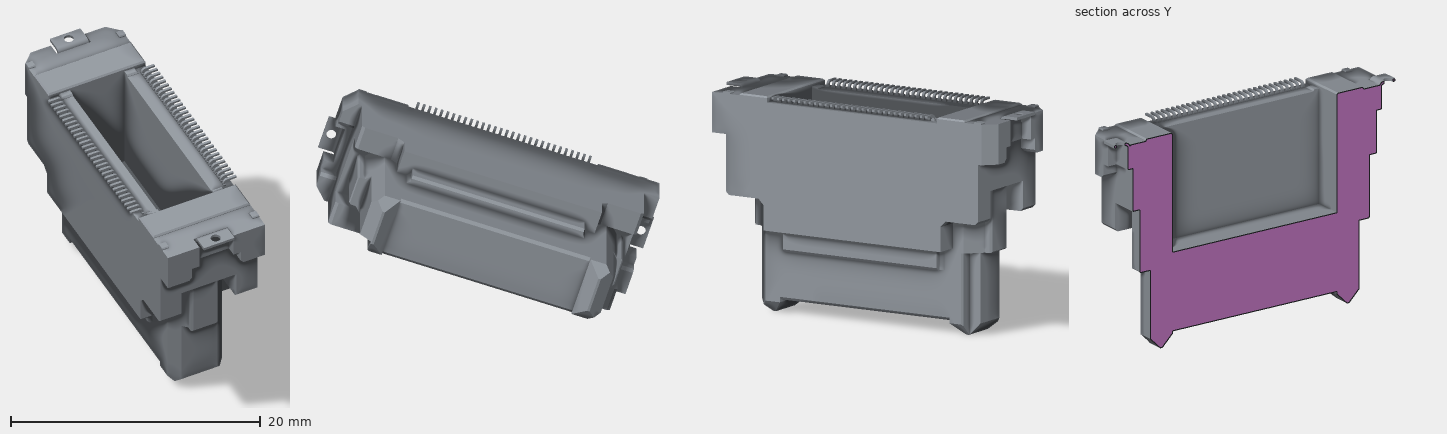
import cadquery as cq

OVER = 1.0

HALF_WIDTH = 4.35
FLANGE_HALF_LENGTH = 13.2
FLANGE_BOTTOM = -3.3
FLANGE_CHAMFER = 1.0
BODY_HALF_LENGTH = 11.88
BODY_BOTTOM = -8.25
BODY_CHAMFER = 0.26
SKIRT_HALF_LENGTH = 8.33
SKIRT_BOTTOM = -10.8
SKIRT_CHAMFER = 0.5

DECK_HALF_LENGTH = 8.0
DECK_Z = -0.32
CAVITY_HALF_WIDTH = 2.44
CAVITY_BOTTOM = -10.0

SLOT_HALF_WIDTH = 1.53
SLOT_FLOOR_X = 12.13
SLOT_BOTTOM = -2.1
NOTCH_HALF_WIDTH = 2.18
NOTCH_CHAMFER = 0.26
END_WINDOW_TOP = -5.75

PLATE_OUTER_X = 10.63
RAISED_HEIGHT = 0.17
PLATE_CHAMFER = 0.13
PAD_INNER_X = 11.49
PAD_OUTER_X = 12.19
PAD_WIDTH = 0.6
PAD_CHAMFER = 0.08
BLOCK_INNER_X = 7.43
BLOCK_OUTER_Y = 3.44
BLOCK_HEIGHT = 0.17
BLOCK_CHAMFER = 0.13

TAB_END_X = 13.7
TAB_TOP = 0.25
TAB_HALF_WIDTH = 1.37
TAB_THICKNESS = 0.24
TAB_BEND_RADIUS = 0.47
TAB_LEG_BOTTOM = -0.75
TAB_HOLE_X = 13.05
TAB_HOLE_DIAMETER = 0.8

PINS_PER_SIDE = 30
PIN_PITCH = 0.5
PIN_WIDTH = 0.2
PIN_THICKNESS = 0.18
PIN_END_Y = 4.75
PIN_ROOT_Y = 3.57
PIN_BEND_RADIUS = 0.35
PIN_BASE_WIDTH = 0.36
PIN_BASE_HEIGHT = 0.17

TONGUE_HALF_WIDTH = 2.45
TONGUE_FACE_HALF_LENGTH = 9.35
TONGUE_HALF_LENGTH = 10.2
SHOULDER_HALF_LENGTH = 10.66
SHOULDER_BOTTOM = -11.13
TONGUE_BOTTOM = -17.95
TIP_START = -16.95
TIP_INNER_X = 8.0
MID_BOTTOM = -16.75
MID_CHAMFER = 0.25
RIB_END_X = 11.2
RIB_HALF_WIDTH = 1.21
RIB_CHAMFER = 0.17
RIB_BOTTOM_CHAMFER = 0.1
KEY_FACE_X = 9.25
KEY_INNER_Y = 1.3
KEY_CHAMFER = 0.15

COVER_HALF_LENGTH = 7.53
COVER_END_CHAMFER = 0.28
COVER_HALF_WIDTH = 3.18
COVER_BOTTOM = -12.64
COVER_BOTTOM_CHAMFER = 0.22


def block(x0, x1, y0, y1, z0, z1):
    """Box given by its limits along each axis."""
    return cq.Workplane("XY").box(x1 - x0, y1 - y0, z1 - z0, centered=False).translate((x0, y0, z0))


def centred(half_x, half_y, z0, z1):
    """Box centred on the Z axis."""
    return block(-half_x, half_x, -half_y, half_y, z0, z1)


def both_ends(shape):
    """The shape at the +X end and its mirror image at the -X end."""
    return shape.union(shape.mirror("YZ"))


def both_sides(shape):
    """The shape on the +Y side and its mirror image on the -Y side."""
    return shape.union(shape.mirror("XZ"))


def make_housing():
    flange = centred(FLANGE_HALF_LENGTH, HALF_WIDTH, FLANGE_BOTTOM, 0)
    flange = flange.edges("|Z and <X").chamfer(FLANGE_CHAMFER)
    right_half = [
        (BODY_HALF_LENGTH, 0),
        (BODY_HALF_LENGTH, BODY_BOTTOM + BODY_CHAMFER),
        (BODY_HALF_LENGTH - BODY_CHAMFER, BODY_BOTTOM),
        (SKIRT_HALF_LENGTH + SKIRT_CHAMFER, BODY_BOTTOM),
        (SKIRT_HALF_LENGTH, BODY_BOTTOM - SKIRT_CHAMFER),
        (SKIRT_HALF_LENGTH, SKIRT_BOTTOM),
    ]
    left_half = [(-x, z) for x, z in reversed(right_half)]
    body = (
        cq.Workplane("XZ").polyline(right_half + left_half).close()
        .extrude(HALF_WIDTH, both=True)
    )
    return flange.union(body)


def make_end_openings():
    """Tab slot, flange notch and tongue window at both ends."""
    outside = FLANGE_HALF_LENGTH + OVER
    leg_face_x = SLOT_FLOOR_X + TAB_THICKNESS
    slot = block(SLOT_FLOOR_X, outside, -SLOT_HALF_WIDTH, SLOT_HALF_WIDTH, TAB_LEG_BOTTOM, OVER)
    slot = slot.union(
        block(leg_face_x, outside, -SLOT_HALF_WIDTH, SLOT_HALF_WIDTH, SLOT_BOTTOM, TAB_LEG_BOTTOM)
    )
    flare = NOTCH_HALF_WIDTH + NOTCH_CHAMFER
    flare_start = FLANGE_BOTTOM + NOTCH_CHAMFER
    notch = (
        cq.Workplane("YZ").workplane(offset=BODY_HALF_LENGTH)
        .polyline([
            (-NOTCH_HALF_WIDTH, SLOT_BOTTOM),
            (NOTCH_HALF_WIDTH, SLOT_BOTTOM),
            (NOTCH_HALF_WIDTH, flare_start),
            (flare, FLANGE_BOTTOM),
            (-flare, FLANGE_BOTTOM),
            (-NOTCH_HALF_WIDTH, flare_start),
        ]).close().extrude(outside - BODY_HALF_LENGTH)
    )
    window = block(
        SKIRT_HALF_LENGTH, outside, -TONGUE_HALF_WIDTH, TONGUE_HALF_WIDTH,
        SKIRT_BOTTOM, END_WINDOW_TOP,
    )
    return both_ends(slot.union(notch).union(window))


def make_tongue_section(half_length, z0, z1):
    corner = half_length - TONGUE_FACE_HALF_LENGTH
    return centred(half_length, TONGUE_HALF_WIDTH, z0, z1).edges("|Z").chamfer(corner)


def make_tip_envelope():
    """Side outline of the tongue's pointed ends, crossed with its bevelled end outline."""
    tip_height = TIP_START - TONGUE_BOTTOM
    right_half = [
        (SHOULDER_HALF_LENGTH, END_WINDOW_TOP),
        (SHOULDER_HALF_LENGTH, SHOULDER_BOTTOM),
        (TONGUE_HALF_LENGTH, SHOULDER_BOTTOM),
        (TONGUE_HALF_LENGTH, TIP_START),
        (TONGUE_HALF_LENGTH - tip_height, TONGUE_BOTTOM),
        (TIP_INNER_X + tip_height, TONGUE_BOTTOM),
        (TIP_INNER_X, TIP_START),
        (TIP_INNER_X, MID_BOTTOM),
    ]
    left_half = [(-x, z) for x, z in reversed(right_half)]
    side = (
        cq.Workplane("XZ").polyline(right_half + left_half).close()
        .extrude(TONGUE_HALF_WIDTH, both=True)
    )
    bevel_y = TONGUE_HALF_WIDTH - tip_height
    end = (
        cq.Workplane("YZ").polyline([
            (-TONGUE_HALF_WIDTH, END_WINDOW_TOP),
            (TONGUE_HALF_WIDTH, END_WINDOW_TOP),
            (TONGUE_HALF_WIDTH, TIP_START),
            (bevel_y, TONGUE_BOTTOM),
            (-bevel_y, TONGUE_BOTTOM),
            (-TONGUE_HALF_WIDTH, TIP_START),
        ]).close().extrude(SHOULDER_HALF_LENGTH, both=True)
    )
    return side.intersect(end)


def make_mid_bevel():
    """Bevel along the lower long edges between the two pointed ends."""
    bevel = (
        cq.Workplane("YZ").polyline([
            (TONGUE_HALF_WIDTH, MID_BOTTOM + MID_CHAMFER),
            (TONGUE_HALF_WIDTH, MID_BOTTOM),
            (TONGUE_HALF_WIDTH - MID_CHAMFER, MID_BOTTOM),
        ]).close().extrude(TIP_INNER_X, both=True)
    )
    return both_sides(bevel)


def make_key_cut():
    """Polarising cut in the -X, +Y corner of the tongue."""
    outside_x = -TONGUE_HALF_LENGTH - OVER
    return (
        cq.Workplane("XY").workplane(offset=TONGUE_BOTTOM)
        .polyline([
            (outside_x, KEY_INNER_Y),
            (-KEY_FACE_X, KEY_INNER_Y),
            (-KEY_FACE_X, TONGUE_HALF_WIDTH - KEY_CHAMFER),
            (-KEY_FACE_X + KEY_CHAMFER, TONGUE_HALF_WIDTH),
            (outside_x, TONGUE_HALF_WIDTH),
        ]).close().extrude(SHOULDER_BOTTOM - TONGUE_BOTTOM)
    )


def make_tongue():
    tongue = make_tongue_section(TONGUE_HALF_LENGTH, TONGUE_BOTTOM, SHOULDER_BOTTOM)
    tongue = tongue.union(make_tongue_section(SHOULDER_HALF_LENGTH, SHOULDER_BOTTOM, END_WINDOW_TOP))
    tongue = tongue.intersect(make_tip_envelope())
    tongue = tongue.cut(make_mid_bevel()).cut(make_key_cut())
    rib = centred(RIB_END_X, RIB_HALF_WIDTH, SHOULDER_BOTTOM, END_WINDOW_TOP)
    rib = rib.edges("|Z").chamfer(RIB_CHAMFER)
    rib = rib.faces("<Z").edges("|Y").chamfer(RIB_BOTTOM_CHAMFER)
    return tongue.union(rib)


def make_cover():
    face_half_length = COVER_HALF_LENGTH - COVER_END_CHAMFER
    right_half = [
        (COVER_HALF_LENGTH, TONGUE_HALF_WIDTH),
        (face_half_length, TONGUE_HALF_WIDTH + COVER_END_CHAMFER),
        (face_half_length, COVER_HALF_WIDTH),
    ]
    left_half = [(-x, y) for x, y in reversed(right_half)]
    cover = (
        cq.Workplane("XY").workplane(offset=COVER_BOTTOM)
        .polyline(right_half + left_half).close().extrude(SKIRT_BOTTOM - COVER_BOTTOM)
    )
    cover = cover.faces(">Y").edges("<Z").chamfer(COVER_BOTTOM_CHAMFER)
    return both_sides(cover)


def make_top_details():
    """End plates, corner pads and the small blocks at the corners of the opening."""
    plate = block(DECK_HALF_LENGTH, PLATE_OUTER_X, -HALF_WIDTH, HALF_WIDTH, 0, RAISED_HEIGHT)
    plate = plate.faces(">Z").chamfer(PLATE_CHAMFER)
    pad = block(PAD_INNER_X, PAD_OUTER_X, HALF_WIDTH - PAD_WIDTH, HALF_WIDTH, 0, RAISED_HEIGHT)
    pad = pad.faces(">Z").edges("|Y").chamfer(PAD_CHAMFER)
    corner = block(
        BLOCK_INNER_X, DECK_HALF_LENGTH, CAVITY_HALF_WIDTH, BLOCK_OUTER_Y,
        DECK_Z, DECK_Z + BLOCK_HEIGHT,
    )
    corner = corner.edges(">Z and (<X or >Y)").chamfer(BLOCK_CHAMFER)
    return both_ends(plate.union(both_sides(pad.union(corner))))


def make_bent_strip(plane, end, root, top, bottom, thickness, radius, width):
    """Strip of sheet: a leg rising at root, a quarter bend, and a flat foot reaching out to end."""
    diagonal = 0.5 ** 0.5
    bend_u = root + radius
    bend_z = top - radius
    inner = radius - thickness
    return (
        cq.Workplane(plane).moveTo(root, bottom).lineTo(root, bend_z)
        .threePointArc((bend_u - radius * diagonal, bend_z + radius * diagonal), (bend_u, top))
        .lineTo(end, top).lineTo(end, top - thickness).lineTo(bend_u, top - thickness)
        .threePointArc(
            (bend_u - inner * diagonal, bend_z + inner * diagonal), (root + thickness, bend_z)
        )
        .lineTo(root + thickness, bottom).close().extrude(width / 2, both=True)
    )


def make_tabs():
    tab = make_bent_strip(
        "XZ", TAB_END_X, SLOT_FLOOR_X, TAB_TOP, TAB_LEG_BOTTOM,
        TAB_THICKNESS, TAB_BEND_RADIUS, 2 * TAB_HALF_WIDTH,
    )
    hole = (
        cq.Workplane("XY").center(TAB_HOLE_X, 0).circle(TAB_HOLE_DIAMETER / 2)
        .extrude(OVER, both=True)
    )
    return both_ends(tab.cut(hole))


def make_pin():
    strip = make_bent_strip(
        "YZ", PIN_END_Y, PIN_ROOT_Y, TAB_TOP, DECK_Z, PIN_THICKNESS, PIN_BEND_RADIUS, PIN_WIDTH
    )
    base = block(
        -PIN_BASE_WIDTH / 2, PIN_BASE_WIDTH / 2, PIN_ROOT_Y, PIN_ROOT_Y + PIN_THICKNESS,
        DECK_Z, DECK_Z + PIN_BASE_HEIGHT,
    )
    return both_sides(strip.union(base))


def add_pins(part):
    pin = make_pin()
    first_x = -PIN_PITCH * (PINS_PER_SIDE - 1) / 2
    solids = []
    for index in range(PINS_PER_SIDE):
        solids += pin.translate((first_x + index * PIN_PITCH, 0, 0)).solids().vals()
    return cq.Workplane(part.val().fuse(*solids))


housing = make_housing()
housing = housing.cut(make_end_openings())
housing = housing.union(make_tongue()).union(make_cover())
housing = housing.cut(centred(DECK_HALF_LENGTH, HALF_WIDTH, DECK_Z, OVER))
housing = housing.cut(centred(DECK_HALF_LENGTH, CAVITY_HALF_WIDTH, CAVITY_BOTTOM, OVER))
housing = housing.union(make_top_details()).union(make_tabs())
result = add_pins(housing)